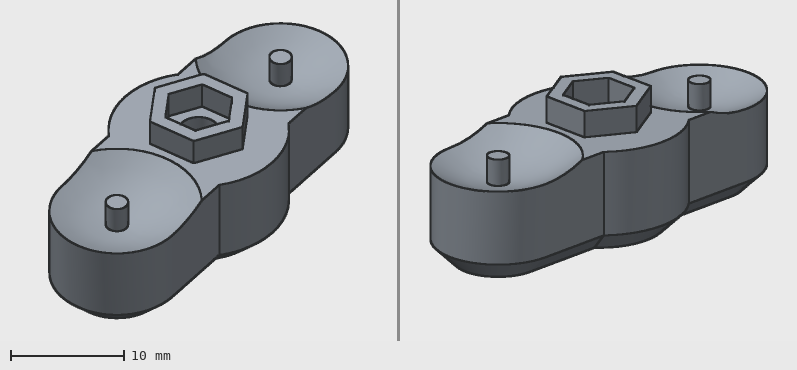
import cadquery as cq
import math

length = 37.0
body_height = 10.0
total_height = 12.5
end_radius = 6.0
hub_radius = 8.0
bottom_chamfer = 2.0
end_offset = length / 2 - end_radius

hex_outer = 9.5
hex_inner = 6.5
socket_depth = 2.5
bore_diameter = 3.5

dish_rim_radius = 7.5
dish_edge_drop = 1.0
pin_diameter = 2.0

dish_center_rise = (dish_rim_radius**2 - end_radius**2 - dish_edge_drop**2) / (2 * dish_edge_drop)
dish_sphere_radius = math.hypot(dish_rim_radius, dish_center_rise)
dish_floor = body_height + dish_center_rise - dish_sphere_radius


def make_body():
    """Long rounded bar joined to a round hub, both chamfered underneath."""
    bar = (
        cq.Workplane("XY")
        .slot2D(length, 2 * end_radius, 90)
        .extrude(body_height)
        .faces("<Z")
        .chamfer(bottom_chamfer)
    )
    hub = (
        cq.Workplane("XY")
        .circle(hub_radius)
        .extrude(body_height)
        .faces("<Z")
        .chamfer(bottom_chamfer)
    )
    return bar.union(hub)


def add_dish_and_pin(body, y):
    """Hollow the top around one end and stand a pin flush with the top plane."""
    dish = cq.Workplane("XY").sphere(dish_sphere_radius).translate((0, y, body_height + dish_center_rise))
    pin_root = dish_floor / 2
    pin = (
        cq.Workplane("XY", origin=(0, y, pin_root))
        .circle(pin_diameter / 2)
        .extrude(body_height - pin_root)
    )
    return body.cut(dish).union(pin)


def add_nut_socket(body):
    """Raised hexagonal collar with a hexagonal pocket and a through bore."""
    collar = cq.Workplane("XY").polygon(6, hex_outer).extrude(total_height)
    socket = (
        cq.Workplane("XY", origin=(0, 0, total_height - socket_depth))
        .polygon(6, hex_inner)
        .extrude(socket_depth)
    )
    bore = cq.Workplane("XY").circle(bore_diameter / 2).extrude(total_height)
    return body.union(collar).cut(socket).cut(bore)


result = make_body()
for end_y in (-end_offset, end_offset):
    result = add_dish_and_pin(result, end_y)
result = add_nut_socket(result)